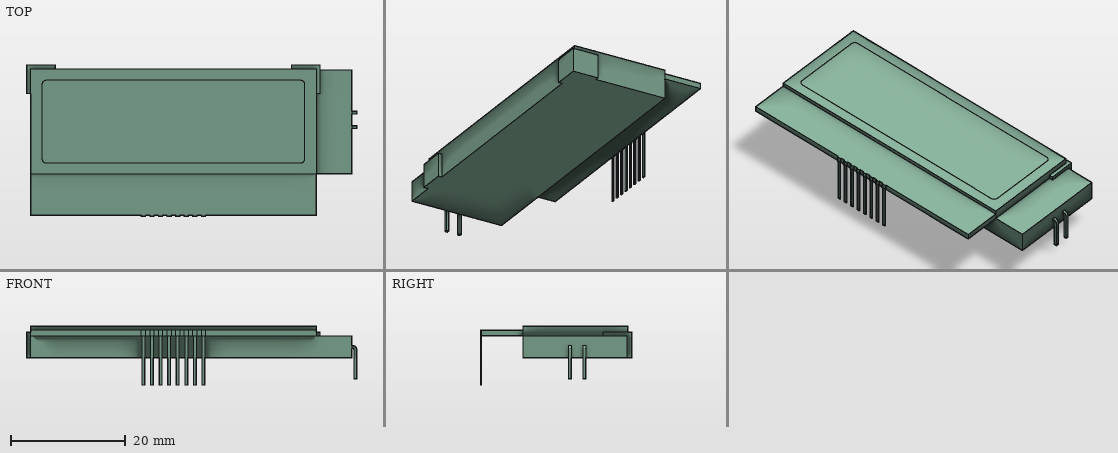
import cadquery as cq


FRAME_LENGTH = 49.7
FRAME_DEPTH = 18.25
FRAME_HEIGHT = 5.5
BRACKET_LENGTH = 5.0
BRACKET_THICKNESS = 0.7
BRACKET_HEIGHT = 4.5
BLOCK_LENGTH = 6.2
BLOCK_REAR_STEP = 0.2

WINDOW_LENGTH = 45.7
WINDOW_DEPTH = 14.4
WINDOW_CORNER_RADIUS = 0.75
WINDOW_REAR_MARGIN = 1.95

PLATE_DEPTH = 7.2
PLATE_THICKNESS = 1.05
PLATE_DROP = 0.7
LEAD_COUNT = 8
LEAD_PITCH = 1.5
LEAD_HEAD_WIDTH = 0.75
LEAD_WIDTH = 0.5
LEAD_THICKNESS = 0.2
TOTAL_HEIGHT = 10.3

LAMP_PIN_COUNT = 2
LAMP_PIN_PITCH = 2.5
LAMP_PIN_ROW_CENTER = 8.85
LAMP_PIN_SIZE = 0.5
LAMP_PIN_REACH = 0.85
LAMP_PIN_DROP = 3.4
LAMP_PIN_TIP_DEPTH = 9.2
LAMP_PIN_INNER_RADIUS = 0.25

WINDOW_THICKNESS = PLATE_DROP
PLATE_TOP = FRAME_HEIGHT - PLATE_DROP
PLATE_BOTTOM = PLATE_TOP - PLATE_THICKNESS
BLOCK_HEIGHT = PLATE_BOTTOM
BLOCK_END = FRAME_LENGTH + BLOCK_LENGTH
PLATE_FRONT = -FRAME_DEPTH - PLATE_DEPTH


def box(x_range, y_range, z_range):
    """Axis-aligned box between two limits on each axis."""
    size = [high - low for low, high in (x_range, y_range, z_range)]
    corner = (x_range[0], y_range[0], z_range[0])
    return cq.Workplane("XY").box(*size, centered=False).translate(corner)


def row_offsets(count, pitch):
    """Evenly spaced offsets, centred on zero."""
    return [(i - (count - 1) / 2) * pitch for i in range(count)]


def make_window():
    """Rounded pane that fills the opening in the top of the frame."""
    center_y = -WINDOW_REAR_MARGIN - WINDOW_DEPTH / 2
    pane = cq.Workplane("XY").box(
        WINDOW_LENGTH, WINDOW_DEPTH, WINDOW_THICKNESS, centered=(True, True, False)
    )
    pane = pane.edges("|Z").fillet(WINDOW_CORNER_RADIUS)
    return pane.translate((FRAME_LENGTH / 2, center_y, FRAME_HEIGHT - WINDOW_THICKNESS))


def make_housing(window):
    """Frame with two rear corner brackets and the lamp block, recessed for the window."""
    frame = box((0, FRAME_LENGTH), (-FRAME_DEPTH, 0), (0, FRAME_HEIGHT))
    block = box((FRAME_LENGTH, BLOCK_END), (-FRAME_DEPTH, -BLOCK_REAR_STEP), (0, BLOCK_HEIGHT))

    bracket_y = (BRACKET_THICKNESS - BRACKET_LENGTH, BRACKET_THICKNESS)
    left = -BRACKET_THICKNESS
    right = FRAME_LENGTH + BRACKET_THICKNESS
    left_bracket = box((left, left + BRACKET_LENGTH), bracket_y, (0, BRACKET_HEIGHT))
    right_bracket = box((right - BRACKET_LENGTH, right), bracket_y, (0, BRACKET_HEIGHT))

    return frame.union(block).union(left_bracket).union(right_bracket).cut(window)


def make_plate():
    """Glass plate against the front wall, with signal leads joined to its front edge."""
    plate = box((0, FRAME_LENGTH), (PLATE_FRONT, -FRAME_DEPTH), (PLATE_BOTTOM, PLATE_TOP))
    lead_y = (PLATE_FRONT - LEAD_THICKNESS, PLATE_FRONT)
    lead_tip = FRAME_HEIGHT - TOTAL_HEIGHT
    for offset in row_offsets(LEAD_COUNT, LEAD_PITCH):
        x = FRAME_LENGTH / 2 + offset
        head_x = (x - LEAD_HEAD_WIDTH / 2, x + LEAD_HEAD_WIDTH / 2)
        leg_x = (x - LEAD_WIDTH / 2, x + LEAD_WIDTH / 2)
        head = box(head_x, lead_y, (PLATE_BOTTOM, PLATE_TOP))
        leg = box(leg_x, lead_y, (lead_tip, PLATE_BOTTOM))
        plate = plate.union(head).union(leg)
    return plate


def make_lamp_pin(center_y):
    """Square pin that leaves the end of the lamp block and bends straight down."""
    center_z = FRAME_HEIGHT - LAMP_PIN_DROP - LAMP_PIN_SIZE / 2
    bend_radius = LAMP_PIN_INNER_RADIUS + LAMP_PIN_SIZE / 2
    leg_x = BLOCK_END + LAMP_PIN_REACH - LAMP_PIN_SIZE / 2
    tip_z = FRAME_HEIGHT - LAMP_PIN_TIP_DEPTH
    path = (
        cq.Workplane("XZ", origin=(0, center_y, 0))
        .moveTo(BLOCK_END, center_z)
        .lineTo(leg_x - bend_radius, center_z)
        .tangentArcPoint((leg_x, center_z - bend_radius), relative=False)
        .lineTo(leg_x, tip_z)
    )
    section = cq.Workplane("YZ", origin=(BLOCK_END, center_y, center_z))
    return section.rect(LAMP_PIN_SIZE, LAMP_PIN_SIZE).sweep(path)


window = make_window()
housing = make_housing(window)
plate = make_plate()
lamp_pins = [
    make_lamp_pin(offset - LAMP_PIN_ROW_CENTER)
    for offset in row_offsets(LAMP_PIN_COUNT, LAMP_PIN_PITCH)
]

result = cq.Compound.makeCompound(
    [housing.val(), window.val(), plate.val(), *[pin.val() for pin in lamp_pins]]
)